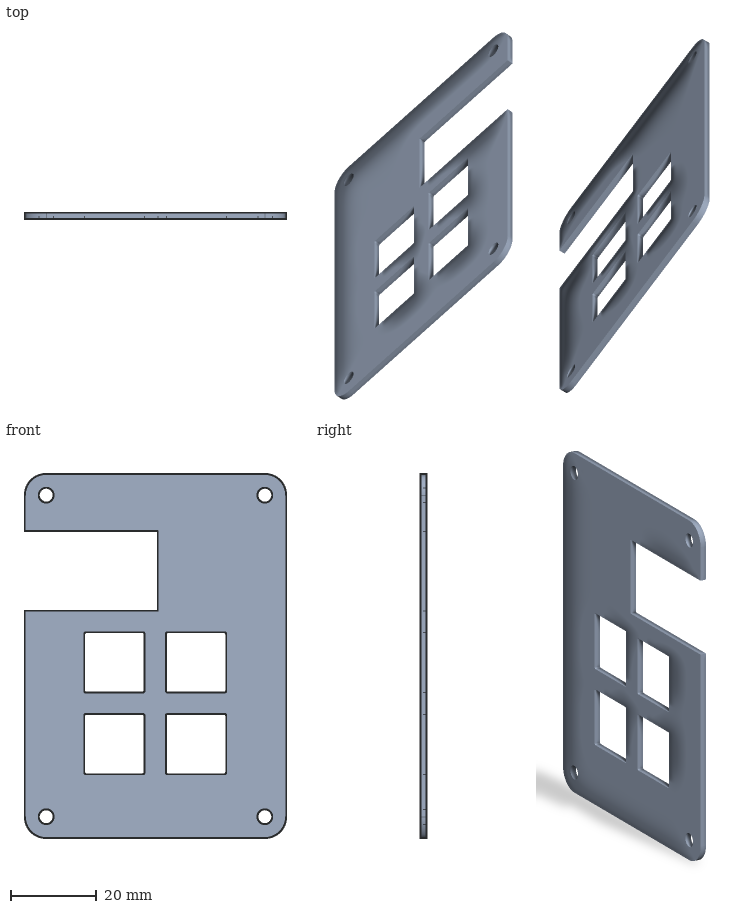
import cadquery as cq

width = 61.0
height = 85.0
thickness = 1.5
corner_radius = 5.0

hole_diameter = 3.4
hole_inset = corner_radius

notch_depth = 31.0
notch_height = 18.5
notch_top_offset = 13.4

switch_size = 14.0
switch_pitch = 19.05
switch_corner_radius = 0.35
switch_grid_x = 30.425
switch_grid_z = 31.475
switches_per_side = 2


def through_block(size_x, size_z, center_x, center_z):
    """Rectangular block through the plate thickness, centred at (X, Z)."""
    return (
        cq.Workplane("XY")
        .box(size_x, thickness, size_z)
        .translate((center_x, thickness / 2, center_z))
    )


def make_plate():
    """Flat plate with four rounded corners, lower left corner at the origin."""
    return through_block(width, height, width / 2, height / 2).edges("|Y").fillet(corner_radius)


def cut_mounting_holes(plate):
    return (
        plate.faces("<Y")
        .workplane(centerOption="CenterOfBoundBox")
        .rect(width - 2 * hole_inset, height - 2 * hole_inset, forConstruction=True)
        .vertices()
        .hole(hole_diameter)
    )


def cut_notch(plate):
    center_z = height - notch_top_offset - notch_height / 2
    return plate.cut(through_block(notch_depth, notch_height, notch_depth / 2, center_z))


def cut_switches(plate):
    first_offset = -switch_pitch * (switches_per_side - 1) / 2
    for column in range(switches_per_side):
        for row in range(switches_per_side):
            center_x = switch_grid_x + first_offset + column * switch_pitch
            center_z = switch_grid_z + first_offset + row * switch_pitch
            cutout = through_block(switch_size, switch_size, center_x, center_z)
            plate = plate.cut(cutout.edges("|Y").fillet(switch_corner_radius))
    return plate


result = cut_switches(cut_notch(cut_mounting_holes(make_plate())))